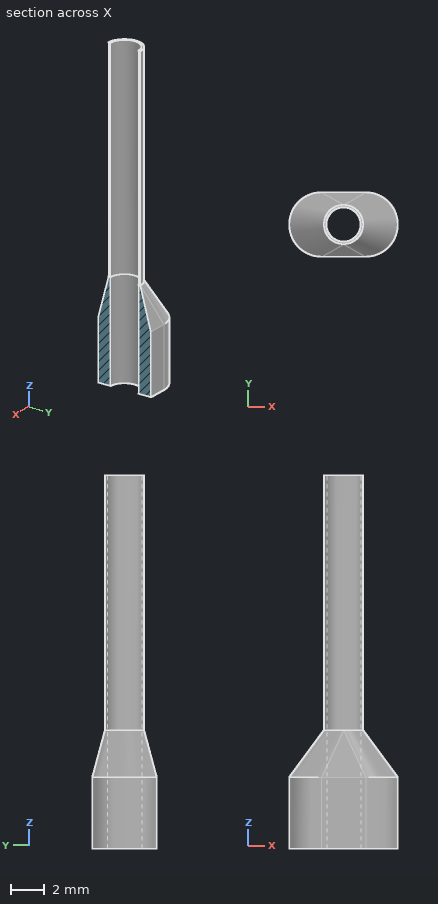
import cadquery as cq

total_height = 22.0
collar_length = 6.4
collar_width = 3.8

base_height = 4.22
taper_height = 2.77
collar_height = base_height + taper_height

tube_diameter = 2.3
wall_thickness = 0.15
bore_diameter = tube_diameter - 2 * wall_thickness

tube_radius = tube_diameter / 2
end_radius = collar_width / 2
end_offset = (collar_length - collar_width) / 2


def polygon_face(*points):
    return cq.Face.makeFromWires(cq.Wire.makePolygon([cq.Vector(*p) for p in points], close=True))


def half_taper(side):
    """Half of an oblique cone, leaning from a round end (side = +1 or -1) to the tube."""
    return (
        cq.Workplane("XY", origin=(0, 0, base_height))
        .moveTo(side * end_offset, -end_radius)
        .threePointArc((side * (end_offset + end_radius), 0), (side * end_offset, end_radius))
        .close()
        .workplane(offset=taper_height)
        .moveTo(0, -tube_radius)
        .threePointArc((side * tube_radius, 0), (0, tube_radius))
        .close()
        .loft(ruled=True)
    )


def middle_taper():
    """Wedge between the half cones: a rectangle narrowing to a ridge across the tube."""
    front_left = (-end_offset, -end_radius, base_height)
    front_right = (end_offset, -end_radius, base_height)
    back_left = (-end_offset, end_radius, base_height)
    back_right = (end_offset, end_radius, base_height)
    ridge_front = (0, -tube_radius, collar_height)
    ridge_back = (0, tube_radius, collar_height)
    faces = [
        polygon_face(front_left, front_right, back_right, back_left),
        polygon_face(front_left, front_right, ridge_front),
        polygon_face(back_right, back_left, ridge_back),
        polygon_face(front_left, ridge_front, ridge_back, back_left),
        polygon_face(front_right, back_right, ridge_back, ridge_front),
    ]
    return cq.Workplane(cq.Solid.makeSolid(cq.Shell.makeShell(faces)))


def make_collar():
    """Oblong sleeve that tapers up to the tube, bored right through."""
    base = cq.Workplane("XY").slot2D(collar_length, collar_width).extrude(base_height)
    taper = middle_taper().union(half_taper(-1)).union(half_taper(1))
    bore = cq.Workplane("XY").circle(bore_diameter / 2).extrude(collar_height)
    return base.union(taper).cut(bore)


def make_tube():
    """Thin round tube standing on top of the collar."""
    return (
        cq.Workplane("XY", origin=(0, 0, collar_height))
        .circle(tube_radius)
        .circle(bore_diameter / 2)
        .extrude(total_height - collar_height)
    )


collar = make_collar()
tube = make_tube()

result = cq.Compound.makeCompound([collar.solids().val(), tube.val()])